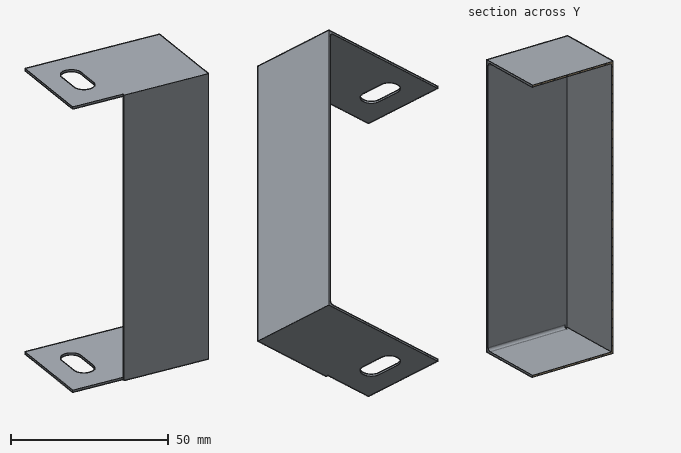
import cadquery as cq

width = 31.8
depth = 49.1
height = 101.6
sheet = 0.8

side_wall_setback = 18.3

bend_radius = 1.0
bend_relief = 0.8

slot_length = 15.0
slot_width = 7.0
slot_center_x = 15.0
slot_center_y = 10.8


def box(x_size, y_size, z_size, corner):
    """Box grown in +X, +Y and +Z from its minimum corner."""
    return cq.Workplane("XY").box(x_size, y_size, z_size, centered=False).translate(corner)


flange_width = width - sheet
back_inner_y = depth - sheet
top_inner_z = height - sheet

back_wall = box(width, sheet, height, (0, back_inner_y, 0))
side_wall = box(sheet, depth - side_wall_setback, height, (flange_width, side_wall_setback, 0))
bottom_flange = box(flange_width, depth, sheet, (0, 0, 0))
top_flange = box(flange_width, depth, sheet, (0, 0, top_inner_z))


def inside_bend(flange_z, direction):
    """Concave fillet strip; direction is +1 above the bottom flange, -1 below the top one."""
    return (
        cq.Workplane("YZ")
        .moveTo(back_inner_y, flange_z)
        .lineTo(back_inner_y, flange_z + direction * bend_radius)
        .radiusArc((back_inner_y - bend_radius, flange_z), direction * bend_radius)
        .close()
        .extrude(flange_width - bend_relief)
    )


slots = (
    cq.Workplane("XY")
    .center(slot_center_x, slot_center_y)
    .slot2D(slot_length, slot_width)
    .extrude(height)
)

result = (
    back_wall.union(side_wall)
    .union(bottom_flange)
    .union(top_flange)
    .union(inside_bend(sheet, 1))
    .union(inside_bend(top_inner_z, -1))
    .cut(slots)
)